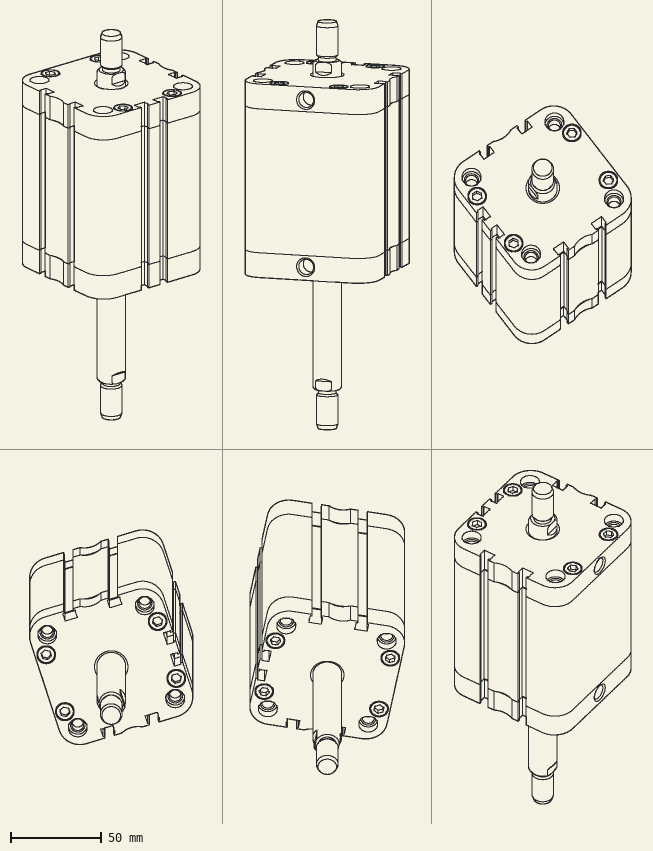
import cadquery as cq
import math

SIDE = 77.0
HALF = SIDE / 2
CORNER_RADIUS = 12.0
CAP_HEIGHT = 14.0
BARREL_HEIGHT = 81.0
HOUSING_HEIGHT = BARREL_HEIGHT + 2 * CAP_HEIGHT
BORE_DIAMETER = 63.0

SLOT_OPENING = 5.3
SLOT_WIDTH = 7.0
SLOT_DEPTH = 5.1
CAP_SLOT_DEPTH_Y_FACES = 5.6
SLOT_LIP = 1.2
SLOT_OFFSET_Y_FACES = 12.9
SLOT_OFFSET_X_FACE = 6.6

CAP_GROOVE_WIDTH = 12.0
CAP_GROOVE_DEPTH = 1.5
BARREL_GROOVE_WIDTH = 12.8
BARREL_GROOVE_DEPTH = 1.1

MOUNT_PITCH = 56.5
MOUNT_COUNTERBORE_DIAMETER = 10.5
MOUNT_COUNTERBORE_DEPTH = 5.0
MOUNT_THREAD_DIAMETER = 6.65
MOUNT_THREAD_DEPTH = 12.0
MOUNT_CHAMFER_DIAMETER = 8.0

SCREW_X = 32.3
SCREW_Y = 17.3
SCREW_HEAD_DIAMETER = 9.4
SCREW_RECESS_DIAMETER = 10.3
SCREW_GAP_DEPTH = 1.0
SOCKET_ACROSS_FLATS = 5.0
SOCKET_DEPTH = 3.0
HALF_HEX_TURN = 30.0

PORT_DIAMETER = 8.57
PORT_CHAMFER_DIAMETER = 10.5
PORT_DEPTH = 9.0
PORT_FROM_END = 7.5

ROD_DIAMETER = 16.0
ROD_TOP_REACH = 30.0
ROD_BOTTOM_REACH = 90.0
ROD_SEAT_DIAMETER = 18.5
ROD_SEAT_DEPTH = 1.0
SHOULDER_TIP_DIAMETER = 13.4
SHOULDER_LENGTH = 2.0
THREAD_DIAMETER = 12.0
THREAD_LENGTH = 22.0
THREAD_TIP_DIAMETER = 10.3
THREAD_TIP_LENGTH = 2.5
NECK_DIAMETER = 9.8
NECK_LENGTH = 3.2
FLATS_WIDTH = 13.0
FLATS_LENGTH = 5.5


def slot_cutter(height, depth):
    """T-slot along Z, opening toward +Y at the plane y = HALF."""
    mouth = cq.Workplane("XY").box(SLOT_OPENING, 2 * depth, height, centered=(True, True, False))
    channel = (
        cq.Workplane("XY")
        .box(SLOT_WIDTH, depth - SLOT_LIP, height, centered=(True, False, False))
        .translate((0, -depth, 0))
    )
    return mouth.union(channel).translate((0, HALF, 0))


def groove_cutter(width, depth, height):
    """Cylinder that leaves a groove of the given width on the +Y face."""
    radius = ((width / 2) ** 2 + depth**2) / (2 * depth)
    return cq.Workplane("XY").center(0, HALF - depth + radius).circle(radius).extrude(height)


def housing_block(height, groove_width, groove_depth, y_slot_depth):
    """Rounded square prism with its T-slots and side grooves, standing on z = 0."""
    block = (
        cq.Workplane("XY")
        .rect(SIDE, SIDE)
        .extrude(height)
        .edges("|Z")
        .fillet(CORNER_RADIUS)
    )
    y_slot = slot_cutter(height, y_slot_depth)
    x_slot = slot_cutter(height, SLOT_DEPTH)
    groove = groove_cutter(groove_width, groove_depth, height)
    for face_angle in (0, 180):
        block = block.cut(groove.rotate((0, 0, 0), (0, 0, 1), face_angle))
        for x in (-SLOT_OFFSET_Y_FACES, SLOT_OFFSET_Y_FACES):
            block = block.cut(y_slot.translate((x, 0, 0)).rotate((0, 0, 0), (0, 0, 1), face_angle))
    for x in (-SLOT_OFFSET_X_FACE, SLOT_OFFSET_X_FACE):
        block = block.cut(x_slot.translate((x, 0, 0)).rotate((0, 0, 0), (0, 0, 1), -90))
    return block


def make_barrel():
    """Profiled tube between the caps."""
    barrel = housing_block(BARREL_HEIGHT, BARREL_GROOVE_WIDTH, BARREL_GROOVE_DEPTH, SLOT_DEPTH)
    bore = cq.Workplane("XY").circle(BORE_DIAMETER / 2).extrude(BARREL_HEIGHT)
    return barrel.cut(bore).translate((0, 0, CAP_HEIGHT))


def mount_hole_cutter():
    """Counterbored, countersunk blind hole going down from z = 0."""
    bore_radius = MOUNT_COUNTERBORE_DIAMETER / 2
    chamfer_radius = MOUNT_CHAMFER_DIAMETER / 2
    thread_radius = MOUNT_THREAD_DIAMETER / 2
    chamfer = chamfer_radius - thread_radius
    return (
        cq.Workplane("XZ")
        .moveTo(0, 0)
        .lineTo(bore_radius, 0)
        .lineTo(bore_radius, -MOUNT_COUNTERBORE_DEPTH)
        .lineTo(chamfer_radius, -MOUNT_COUNTERBORE_DEPTH)
        .lineTo(thread_radius, -MOUNT_COUNTERBORE_DEPTH - chamfer)
        .lineTo(thread_radius, -MOUNT_THREAD_DEPTH)
        .lineTo(0, -MOUNT_THREAD_DEPTH)
        .close()
        .revolve(360, (0, 0, 0), (0, 1, 0))
    )


def screw_cutter(turn):
    """Ring gap around a screw head and its hexagon socket, going down from z = 0."""
    gap = (
        cq.Workplane("XY")
        .circle(SCREW_RECESS_DIAMETER / 2)
        .circle(SCREW_HEAD_DIAMETER / 2)
        .extrude(-SCREW_GAP_DEPTH)
    )
    across_corners = SOCKET_ACROSS_FLATS / math.cos(math.radians(HALF_HEX_TURN))
    socket = cq.Workplane("XY").polygon(6, across_corners).extrude(-SOCKET_DEPTH)
    return gap.union(socket.rotate((0, 0, 0), (0, 0, 1), turn))


def port_cutter():
    """Chamfered blind port going in from the -X face."""
    chamfer = (PORT_CHAMFER_DIAMETER - PORT_DIAMETER) / 2
    hole = cq.Workplane("YZ", origin=(-HALF, 0, 0)).circle(PORT_DIAMETER / 2).extrude(PORT_DEPTH)
    mouth = cq.Workplane(
        cq.Solid.makeCone(
            PORT_CHAMFER_DIAMETER / 2, PORT_DIAMETER / 2, chamfer, cq.Vector(-HALF, 0, 0), cq.Vector(1, 0, 0)
        )
    )
    return hole.union(mouth)


def make_upper_cap():
    """Cap with its outer face at z = CAP_HEIGHT and its inner face on z = 0."""
    cap = housing_block(CAP_HEIGHT, CAP_GROOVE_WIDTH, CAP_GROOVE_DEPTH, CAP_SLOT_DEPTH_Y_FACES)
    cap = cap.cut(cq.Workplane("XY").circle(ROD_DIAMETER / 2).extrude(CAP_HEIGHT))
    rod_seat = cq.Solid.makeCone(
        ROD_DIAMETER / 2, ROD_SEAT_DIAMETER / 2, ROD_SEAT_DEPTH, cq.Vector(0, 0, CAP_HEIGHT - ROD_SEAT_DEPTH)
    )
    cap = cap.cut(cq.Workplane(rod_seat))
    for side_x in (-1, 1):
        for side_y in (-1, 1):
            mount_place = (side_x * MOUNT_PITCH / 2, side_y * MOUNT_PITCH / 2, CAP_HEIGHT)
            screw_place = (side_x * SCREW_X, side_y * SCREW_Y, CAP_HEIGHT)
            socket_turn = HALF_HEX_TURN if side_x < 0 else 0
            cap = cap.cut(mount_hole_cutter().translate(mount_place))
            cap = cap.cut(screw_cutter(socket_turn).translate(screw_place))
    return cap.cut(port_cutter().translate((0, 0, CAP_HEIGHT - PORT_FROM_END)))


def rod_flats_cutter():
    """Wrench-flat cutters for a rod whose shoulder is at z = 0, rod below it."""
    run_out = (ROD_DIAMETER - FLATS_WIDTH) / 2
    inner = FLATS_WIDTH / 2
    outer = inner + run_out
    flat = (
        cq.Workplane("XZ")
        .polyline(
            [(inner, 0), (outer, 0), (outer, -FLATS_LENGTH - run_out), (inner, -FLATS_LENGTH)]
        )
        .close()
        .extrude(ROD_DIAMETER / 2, both=True)
    )
    return flat.union(flat.mirror("YZ"))


def threaded_end():
    """Neck, thread and tapered tip, rising from a shoulder at z = 0."""
    neck_radius = NECK_DIAMETER / 2
    thread_radius = THREAD_DIAMETER / 2
    return (
        cq.Workplane("XZ")
        .moveTo(0, 0)
        .lineTo(neck_radius, 0)
        .lineTo(neck_radius, NECK_LENGTH - (thread_radius - neck_radius))
        .lineTo(thread_radius, NECK_LENGTH)
        .lineTo(thread_radius, THREAD_LENGTH - THREAD_TIP_LENGTH)
        .lineTo(THREAD_TIP_DIAMETER / 2, THREAD_LENGTH)
        .lineTo(0, THREAD_LENGTH)
        .close()
        .revolve(360, (0, 0, 0), (0, 1, 0))
    )


def make_rod():
    """Through rod, built as its upper half and mirrored about mid-length."""
    half_length = (HOUSING_HEIGHT + ROD_TOP_REACH + ROD_BOTTOM_REACH) / 2
    shoulder = half_length - THREAD_LENGTH
    rod_radius = ROD_DIAMETER / 2
    upper_half = (
        cq.Workplane("XZ")
        .moveTo(0, 0)
        .lineTo(rod_radius, 0)
        .lineTo(rod_radius, shoulder - SHOULDER_LENGTH)
        .tangentArcPoint((SHOULDER_TIP_DIAMETER / 2, shoulder), relative=False)
        .lineTo(0, shoulder)
        .close()
        .revolve(360, (0, 0, 0), (0, 1, 0))
        .cut(rod_flats_cutter().translate((0, 0, shoulder)))
        .union(threaded_end().translate((0, 0, shoulder)))
    )
    middle_height = HOUSING_HEIGHT + ROD_TOP_REACH - half_length
    return upper_half.union(upper_half.mirror("XY")).clean().translate((0, 0, middle_height))


barrel = make_barrel()
cap_at_origin = make_upper_cap()
upper_cap = cap_at_origin.translate((0, 0, CAP_HEIGHT + BARREL_HEIGHT))
lower_cap = cap_at_origin.mirror("XY").translate((0, 0, CAP_HEIGHT))
rod = make_rod()

result = cq.Compound.makeCompound([barrel.val(), upper_cap.val(), lower_cap.val(), rod.val()])